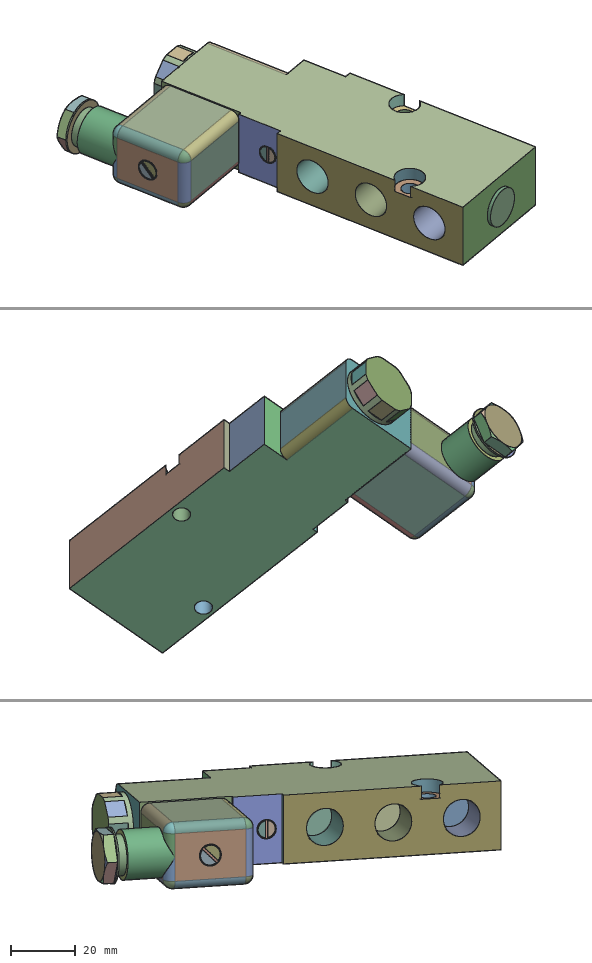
import cadquery as cq
import math


thickness = 22.0
block_length = 70.0
block_width = 39.7
end_cap_diameter = 13.0
end_cap_length = 1.2

port_diameter = 11.8
port_depth = 13.6
port_count = 3
port_pitch = 22.0
first_port_x = 13.3

mount_offset_y = 15.9
rear_mount_x = 23.4
front_mount_x = 47.3
mount_diameter = 5.6
counterbore_diameter = 9.8
counterbore_depth = 4.2

adapter_length = 15.8
adapter_rear_y = 17.5
adapter_front_y = -18.1
coil_length = 29.8
coil_rear_y = 10.7
coil_front_y = -17.0
coil_edge_radius = 2.9
coil_left_x = -adapter_length - coil_length

coil_nut_length = 7.9
coil_nut_diameter = 20.3
coil_nut_flats_length = 6.3
coil_nut_across_flats = 19.5
coil_nut_flat_count = 8

connector_setback = 0.4
connector_length = 28.8
connector_left_x = coil_left_x + connector_setback
connector_front_y = -46.1
connector_height = 21.2
connector_edge_radius = 3.0

gland_diameter = 15.9
gland_length = 12.1
gland_y = connector_front_y + gland_diameter / 2
neck_diameter = 13.0
neck_length = 3.1
washer_diameter = 17.8
washer_thickness = 0.5
cable_nut_length = 3.8
cable_nut_across_flats = 15.6
cable_nut_chamfer = 0.5
cable_nut_side_count = 6

adapter_screw_diameter = 6.1
adapter_screw_x = -4.9
adapter_screw_angle = 90
connector_screw_diameter = 7.0
connector_screw_x = connector_left_x + connector_length / 2
connector_screw_angle = -45
clearance_width = 0.3
clearance_depth = 0.4
slot_width = 0.8
slot_depth = 0.4


def box(x_min, x_max, y_min, y_max, height):
    """Box centred on Z = 0."""
    return cq.Workplane("XY").box(
        x_max - x_min, y_max - y_min, height, centered=(False, False, True)
    ).translate((x_min, y_min, 0))


def rod_along_x(diameter, x_start, length, y=0):
    """Cylinder that runs from x_start toward +X."""
    return cq.Workplane("YZ", origin=(x_start, y, 0)).circle(diameter / 2).extrude(length)


def hole_along_y(diameter, x, face_y, depth):
    """Cutter that enters a front face at face_y and runs toward +Y."""
    return cq.Workplane("XZ", origin=(x, face_y, 0)).circle(diameter / 2).extrude(-depth)


def screw_cutter(diameter, x, face_y, slot_angle):
    """Clearance ring around a flush screw head, and the screwdriver slot across the head."""
    head_diameter = diameter - 2 * clearance_width
    ring = hole_along_y(diameter, x, face_y, clearance_depth).cut(
        hole_along_y(head_diameter, x, face_y, clearance_depth)
    )
    slot = (
        cq.Workplane("XZ", origin=(x, face_y, 0))
        .transformed(rotate=(0, 0, slot_angle))
        .rect(diameter, slot_width)
        .extrude(-slot_depth)
        .intersect(hole_along_y(diameter, x, face_y, slot_depth))
    )
    return ring.union(slot)


def mounting_hole(x, y):
    """Cutter for a through hole counterbored from the top."""
    hole = cq.Workplane("XY", origin=(x, y, 0)).circle(mount_diameter / 2).extrude(thickness, both=True)
    counterbore = (
        cq.Workplane("XY", origin=(x, y, thickness / 2))
        .circle(counterbore_diameter / 2)
        .extrude(-counterbore_depth)
    )
    return hole.union(counterbore)


def make_coil_nut():
    collar_length = coil_nut_length - coil_nut_flats_length
    nut_left_x = coil_left_x - coil_nut_length
    collar = rod_along_x(coil_nut_diameter, coil_left_x - collar_length, collar_length)
    knob = rod_along_x(coil_nut_diameter, nut_left_x, coil_nut_flats_length)
    across_corners = coil_nut_across_flats / math.cos(math.pi / coil_nut_flat_count)
    octagon = (
        cq.Workplane("YZ", origin=(nut_left_x, 0, 0))
        .transformed(rotate=(0, 0, 180 / coil_nut_flat_count))
        .polygon(coil_nut_flat_count, across_corners)
        .extrude(coil_nut_flats_length)
    )
    return collar.union(knob.intersect(octagon))


def make_valve():
    block = box(0, block_length, -block_width / 2, block_width / 2, thickness)
    adapter = box(-adapter_length, 0, adapter_front_y, adapter_rear_y, thickness)
    coil = box(coil_left_x, -adapter_length, coil_front_y, coil_rear_y, thickness)
    coil = coil.edges("|X and >Y").fillet(coil_edge_radius)
    end_cap = rod_along_x(end_cap_diameter, block_length, end_cap_length)
    valve = block.union(adapter).union(coil).union(end_cap).union(make_coil_nut())

    for index in range(port_count):
        port_x = first_port_x + index * port_pitch
        valve = valve.cut(hole_along_y(port_diameter, port_x, -block_width / 2, port_depth))

    valve = valve.cut(mounting_hole(rear_mount_x, mount_offset_y))
    valve = valve.cut(mounting_hole(front_mount_x, -mount_offset_y))
    return valve.cut(
        screw_cutter(adapter_screw_diameter, adapter_screw_x, adapter_front_y, adapter_screw_angle)
    )


def make_cable_nut(left_x):
    """Hexagon nut with corners toward front and rear and a chamfered left face."""
    across_corners = cable_nut_across_flats / math.cos(math.pi / cable_nut_side_count)
    hexagon = (
        cq.Workplane("YZ", origin=(left_x, gland_y, 0))
        .polygon(cable_nut_side_count, across_corners)
        .extrude(cable_nut_length)
    )
    chamfer_cone = (
        cq.Workplane("XY")
        .polyline([
            (left_x, 0),
            (left_x, cable_nut_across_flats / 2),
            (left_x + cable_nut_chamfer, across_corners / 2),
            (left_x + cable_nut_length, across_corners / 2),
            (left_x + cable_nut_length, 0),
        ])
        .close()
        .revolve(360, (0, 0, 0), (1, 0, 0))
        .translate((0, gland_y, 0))
    )
    return hexagon.intersect(chamfer_cone)


def make_cable_gland():
    """Gland, neck, washer and nut in line; the gland reaches in past the rounded edge."""
    gland_left_x = connector_left_x - gland_length
    neck_left_x = gland_left_x - neck_length
    washer_left_x = neck_left_x - washer_thickness
    gland = rod_along_x(gland_diameter, gland_left_x, gland_length + connector_edge_radius, gland_y)
    neck = rod_along_x(neck_diameter, neck_left_x, neck_length, gland_y)
    washer = rod_along_x(washer_diameter, washer_left_x, washer_thickness, gland_y)
    cable_nut = make_cable_nut(washer_left_x - cable_nut_length)
    return gland.union(neck).union(washer).union(cable_nut)


def make_connector():
    housing = box(
        connector_left_x,
        connector_left_x + connector_length,
        connector_front_y,
        coil_front_y,
        connector_height,
    )
    housing = housing.edges("|Y or <Y").fillet(connector_edge_radius)
    connector = housing.union(make_cable_gland())
    return connector.cut(
        screw_cutter(connector_screw_diameter, connector_screw_x, connector_front_y, connector_screw_angle)
    )


valve = make_valve()
connector = make_connector()
result = cq.Compound.makeCompound([valve.val(), connector.val()])